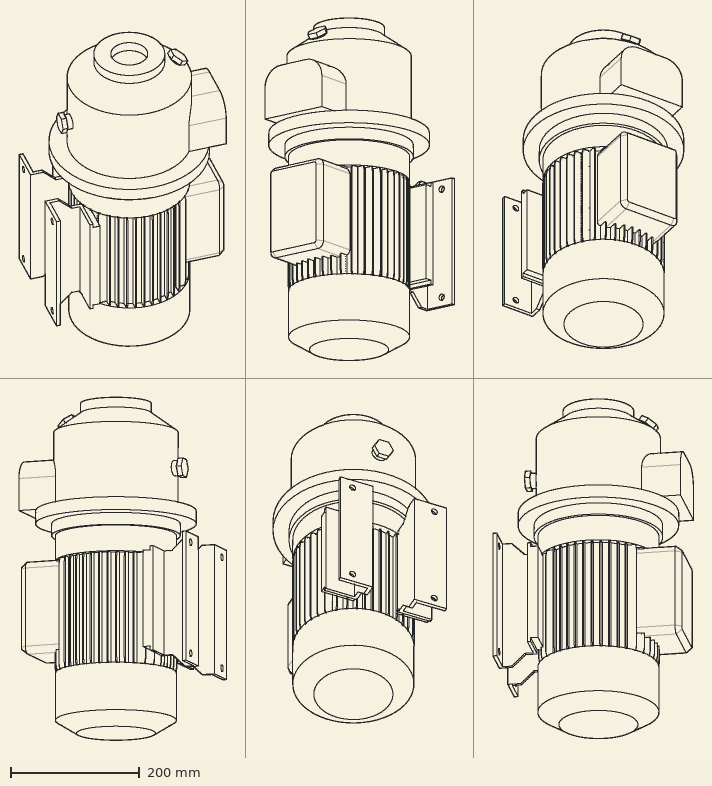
import cadquery as cq
import math

COVER_RIM_Z = 20.5
FINS_BOTTOM_Z = 95.5
FINS_TOP_Z = 271.5
HUB_BOTTOM_Z = 312.0
FLANGE_BOTTOM_Z = 331.0
FLANGE_TOP_Z = 351.0
CASING_RIM_Z = 475.0
NECK_BOTTOM_Z = 505.5
TOTAL_HEIGHT = 521.0

COVER_END_RADIUS = 61.5
MOTOR_RADIUS = 94.5
FIN_ROOT_RADIUS = 83.0
HUB_RADIUS = 100.0
FLANGE_RADIUS = 125.0
CASING_RADIUS = 97.0
NECK_RADIUS = 55.0

BORE_RADIUS = 28.5
BORE_DEPTH = 15.5

REAR_Y = 140.0
BRANCH_HALF_WIDTH = 56.5
BRANCH_TOP_Z = 433.0
BRANCH_EDGE_RADIUS = 31.0

BOX_HALF_WIDTH = 52.0
BOX_BOTTOM_Z = 126.0
BOX_EDGE_RADIUS = 11.0
BOX_BEVEL_SIDE = 7.5
BOX_BEVEL_DEPTH = 9.5

PLUG_HEAD_FLATS = 28.0
PLUG_HEAD_HEIGHT = 8.5
PLUG_SHANK_RADIUS = 12.0
PLUG_ROOT_DEPTH = 10.5
DRAIN_PLUG_Z = 412.5
DRAIN_PLUG_SHANK = 9.0
VENT_PLUG_SHANK = 1.5

FIN_THICKNESS = 2.0
FINS_PER_SIDE = 10
SIDE_FIN_PITCH_ANGLE = 360 / 44
FRONT_FIN_PITCH = 13.5
FIN_TIP_RADIUS = 95.0
FIN_TAPER_HEIGHT = 8.5
FIN_TAPER_DEPTH = 1.5
FRONT_FIN_MAX_REACH = 88.0

FOOT_CENTRE_Z = 193.0
FOOT_OUTER_X = 90.5
FOOT_INNER_X = 35.5
FOOT_THICKNESS = 6.0
PAD_FRONT_Y = -150.0
PAD_HEIGHT = 204.0
CLAMP_FRONT_Y = -95.5
CLAMP_THICKNESS = 5.0
CLAMP_HEIGHT = 164.5
WEB_SLOPE_START_Y = -108.5
WEB_SLOPE_END_Y = -129.0
BLOCK_HEIGHT = 152.0
BLOCK_REAR_Y = -78.5
FOOT_HOLE_DIAMETER = 10.0
FOOT_HOLE_X = 70.0
FOOT_HOLE_SPACING = 175.0


def turned(profile):
    """Solid of revolution about Z from (radius, height) points on and off the axis."""
    return cq.Workplane("XZ").polyline(profile).close().revolve(360, (0, 0, 0), (0, 1, 0))


def block(x_range, y_range, z_range):
    """Box between the given limits along X, Y and Z."""
    lows, highs = zip(x_range, y_range, z_range)
    sizes = [high - low for low, high in zip(lows, highs)]
    return cq.Workplane("XY").box(*sizes, centered=False).translate(lows)


def centred_range(centre, size):
    return (centre - size / 2, centre + size / 2)



def casing_barrel():
    return turned([
        (0, FLANGE_TOP_Z),
        (CASING_RADIUS, FLANGE_TOP_Z),
        (CASING_RADIUS, CASING_RIM_Z),
        (NECK_RADIUS, NECK_BOTTOM_Z),
        (NECK_RADIUS, TOTAL_HEIGHT),
        (0, TOTAL_HEIGHT),
    ])


def discharge_branch():
    """Arched-top branch running from the casing axis to the rear plane."""
    branch = block(
        (-BRANCH_HALF_WIDTH, BRANCH_HALF_WIDTH),
        (0, REAR_Y),
        (FLANGE_TOP_Z, BRANCH_TOP_Z),
    )
    return branch.edges("|Y and >Z").fillet(BRANCH_EDGE_RADIUS)


def hex_plug(surface_point, outward, shank_length):
    """Plug standing on a surface point, its shank rooted below that surface."""
    plane = cq.Plane(origin=surface_point, xDir=(1, 0, 0), normal=outward)
    head_corners = PLUG_HEAD_FLATS / math.cos(math.pi / 6)
    shank = (
        cq.Workplane(plane)
        .workplane(offset=-PLUG_ROOT_DEPTH)
        .circle(PLUG_SHANK_RADIUS)
        .extrude(PLUG_ROOT_DEPTH + shank_length)
    )
    head = (
        cq.Workplane(plane)
        .workplane(offset=shank_length)
        .polygon(6, head_corners)
        .extrude(PLUG_HEAD_HEIGHT)
    )
    return shank.union(head)


def drain_plug():
    return hex_plug((0, -CASING_RADIUS, DRAIN_PLUG_Z), (0, -1, 0), DRAIN_PLUG_SHANK)


def vent_plug():
    """Plug square to the cone, halfway up its slope at the rear."""
    cone_width = CASING_RADIUS - NECK_RADIUS
    cone_height = NECK_BOTTOM_Z - CASING_RIM_Z
    middle = (0, (CASING_RADIUS + NECK_RADIUS) / 2, (CASING_RIM_Z + NECK_BOTTOM_Z) / 2)
    return hex_plug(middle, (0, cone_height, cone_width), VENT_PLUG_SHANK)


def suction_bore():
    return (
        cq.Workplane("XY", origin=(0, 0, TOTAL_HEIGHT - BORE_DEPTH))
        .circle(BORE_RADIUS)
        .extrude(BORE_DEPTH)
    )


def build_pump_casing():
    casing = casing_barrel().union(discharge_branch())
    casing = casing.union(drain_plug()).union(vent_plug())
    return casing.cut(suction_bore())



def motor_barrel():
    """End cover, finned stretch at root radius, upper barrel, hub and flange."""
    return turned([
        (0, 0),
        (COVER_END_RADIUS, 0),
        (MOTOR_RADIUS, COVER_RIM_Z),
        (MOTOR_RADIUS, FINS_BOTTOM_Z),
        (FIN_ROOT_RADIUS, FINS_BOTTOM_Z),
        (FIN_ROOT_RADIUS, FINS_TOP_Z),
        (MOTOR_RADIUS, FINS_TOP_Z),
        (MOTOR_RADIUS, HUB_BOTTOM_Z),
        (HUB_RADIUS, HUB_BOTTOM_Z),
        (HUB_RADIUS, FLANGE_BOTTOM_Z),
        (FLANGE_RADIUS, FLANGE_BOTTOM_Z),
        (FLANGE_RADIUS, FLANGE_TOP_Z),
        (0, FLANGE_TOP_Z),
    ])


def fin_reach(offset):
    """Distance from the middle at which a fin's outer corner meets the tip radius."""
    return math.sqrt(FIN_TIP_RADIUS**2 - (abs(offset) + FIN_THICKNESS / 2) ** 2)


def fin_plate(plane_name, offset, low_reach, high_reach):
    """Plate through the motor whose two flat tips are tapered at their upper and lower ends."""
    bottom_taper_z = FINS_BOTTOM_Z + FIN_TAPER_HEIGHT
    top_taper_z = FINS_TOP_Z - FIN_TAPER_HEIGHT
    outline = [
        (FIN_TAPER_DEPTH - low_reach, FINS_BOTTOM_Z),
        (high_reach - FIN_TAPER_DEPTH, FINS_BOTTOM_Z),
        (high_reach, bottom_taper_z),
        (high_reach, top_taper_z),
        (high_reach - FIN_TAPER_DEPTH, FINS_TOP_Z),
        (FIN_TAPER_DEPTH - low_reach, FINS_TOP_Z),
        (-low_reach, top_taper_z),
        (-low_reach, bottom_taper_z),
    ]
    plate = cq.Workplane(plane_name).workplane(offset=offset).polyline(outline).close()
    return plate.extrude(FIN_THICKNESS / 2, both=True)


def fin_plates():
    """Plates along X and along Y, each forming two opposite fins; the front tips are cut short."""
    plates = cq.Workplane("XY")
    for index in range(FINS_PER_SIDE):
        step = index - (FINS_PER_SIDE - 1) / 2
        side_y = FIN_TIP_RADIUS * math.sin(math.radians(step * SIDE_FIN_PITCH_ANGLE))
        side_reach = fin_reach(side_y)
        plates = plates.union(fin_plate("XZ", side_y, side_reach, side_reach))

        rear_x = step * FRONT_FIN_PITCH
        rear_reach = fin_reach(rear_x)
        front_reach = min(rear_reach, FRONT_FIN_MAX_REACH)
        plates = plates.union(fin_plate("YZ", rear_x, front_reach, rear_reach))
    return plates


def terminal_box():
    """Box on the rear of the motor with rounded sides and a bevelled lid."""
    box = block(
        (-BOX_HALF_WIDTH, BOX_HALF_WIDTH),
        (0, REAR_Y),
        (BOX_BOTTOM_Z, FINS_TOP_Z),
    )
    box = box.edges("|Y").fillet(BOX_EDGE_RADIUS)
    return box.faces(">Y").chamfer(BOX_BEVEL_SIDE, BOX_BEVEL_DEPTH)


def foot_web():
    """Web widening from the clamping plate's height to the pad's height."""
    half_clamp = CLAMP_HEIGHT / 2
    half_pad = PAD_HEIGHT / 2
    upper_edge = [
        (CLAMP_FRONT_Y + CLAMP_THICKNESS, half_clamp),
        (WEB_SLOPE_START_Y, half_clamp),
        (WEB_SLOPE_END_Y, half_pad),
        (PAD_FRONT_Y, half_pad),
    ]
    lower_edge = [(y, -z) for y, z in reversed(upper_edge)]
    return (
        cq.Workplane("YZ", origin=(FOOT_INNER_X, 0, FOOT_CENTRE_Z))
        .polyline(upper_edge + lower_edge)
        .close()
        .extrude(FOOT_THICKNESS)
    )


def foot_pad():
    pad = block(
        (FOOT_INNER_X, FOOT_OUTER_X),
        (PAD_FRONT_Y, PAD_FRONT_Y + FOOT_THICKNESS),
        centred_range(FOOT_CENTRE_Z, PAD_HEIGHT),
    )
    holes = (
        cq.Workplane("XZ", origin=(FOOT_HOLE_X, PAD_FRONT_Y, FOOT_CENTRE_Z))
        .rarray(5, FOOT_HOLE_SPACING, 1, 2)
        .circle(FOOT_HOLE_DIAMETER / 2)
        .extrude(-FOOT_THICKNESS)
    )
    return pad.cut(holes)


def right_foot():
    clamp_rear_y = CLAMP_FRONT_Y + CLAMP_THICKNESS
    x_range = (FOOT_INNER_X, FOOT_OUTER_X)
    clamp = block(
        x_range,
        (CLAMP_FRONT_Y, clamp_rear_y),
        centred_range(FOOT_CENTRE_Z, CLAMP_HEIGHT),
    )
    mounting_block = block(
        x_range,
        (clamp_rear_y, BLOCK_REAR_Y),
        centred_range(FOOT_CENTRE_Z, BLOCK_HEIGHT),
    )
    return foot_pad().union(foot_web()).union(clamp).union(mounting_block)


def build_motor():
    foot = right_foot()
    motor = motor_barrel().union(fin_plates())
    motor = motor.union(terminal_box())
    return motor.union(foot).union(foot.mirror("YZ"))


pump_casing = build_pump_casing()
motor = build_motor()

result = cq.Compound.makeCompound([pump_casing.val(), motor.val()])